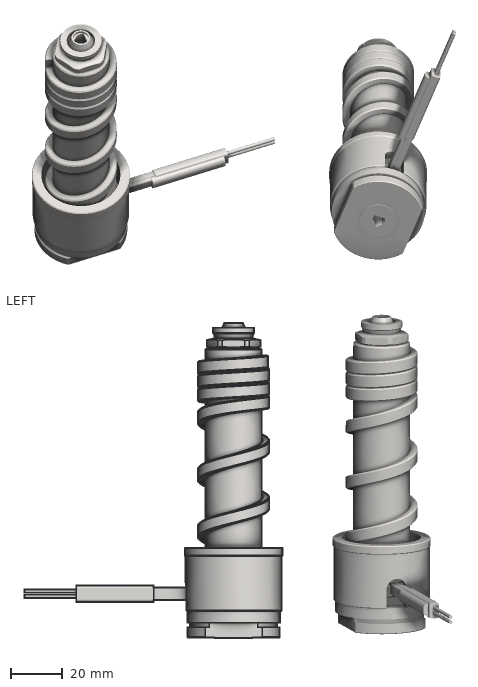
import cadquery as cq
import math

TOTAL_HEIGHT = 122.2

BOSS_RADIUS = 7.3
BOSS_HEIGHT = 0.3
BASE_RADIUS = 18.0
BASE_CHAMFER = 0.3
GROOVE_RADIUS = 17.0
GROOVE_BOTTOM = 4.4
GROOVE_TOP = 6.1
FLAT_HALF_WIDTH = 14.2
CUP_BOTTOM = 10.5
CUP_RADIUS = 18.7
RIM_RADIUS = 19.0
RIM_BOTTOM = 32.2
RIM_TOP = 35.2
CUP_CHAMFER = 0.35
CUP_INNER_RADIUS = 15.3

SLOT_WIDTH = 8.0
SLOT_TOP = 22.1

TUBE_RADIUS = 11.0
TUBE_TOP = 112.2
TUBE_CHAMFER = 0.5
NECK_RADIUS = 8.85

HEX_BOTTOM = 112.5
HEX_TOP = 116.3
HEX_ACROSS_FLATS = 19.0
HEX_CORNER_RADIUS = 10.45
HEX_BOTTOM_CHAMFER = 0.5
HEX_TOP_INNER_RADIUS = 7.2
HEX_TOP_DROP = 0.8

FLANGE_TOP = 120.3
FLANGE_BOTTOM = 118.3
FLANGE_RADIUS = 8.0
COLLAR_TOP = 117.9
COLLAR_TOP_RADIUS = 7.65
COLLAR_BOTTOM_RADIUS = HEX_TOP_INNER_RADIUS

RECESS_RADIUS = 5.5
RECESS_DEPTH = 2.0
NOZZLE_TOP_RADIUS = 3.6
NOZZLE_FLANGE_RADIUS = 4.4
NOZZLE_ROOT_RADIUS = 5.2
BORE_RADIUS = 3.0
BORE_DEPTH = 1.0

KEY_FLAT_Y = 1.95
KEY_FLAT_HALF_WIDTH = 2.1
KEY_HALF_WIDTH = 2.35
KEY_SHOULDER_Y = 1.5
KEY_TAPER = (2.0, -1.1)
KEY_TIP_Y = -3.1

SPRING_OUTER_RADIUS = 13.9
TUBE_OVERLAP = 0.1
SPRING_INNER_RADIUS = TUBE_RADIUS - TUBE_OVERLAP
STRIP_HEIGHT = 4.95
STRIP_CHAMFER = 0.45
OPEN_PITCH = 22.0
CLOSE_PITCH = 5.3
SPRING_MIDDLE_ANGLE = 30.0
SPRING_MIDDLE_Z = 59.75
OPEN_HALF_SPAN = 420.0
BLEND_SPAN = 150.0
CLOSE_SPAN = 1094.0
SPRING_STEP = 15.0

CABLE_Z = 17.3
CABLE_START_Y = 12.5
CABLE_1_X = (-2.95, -0.4)
CABLE_1_HEIGHT = 5.0
CABLE_1_CORNER = 0.5
CABLE_2_X = (-1.4, 1.05)
CABLE_2_HEIGHT = 4.4
CABLE_2_CORNER = 0.75
SLEEVE_LENGTH = 30.0
SLEEVE_1_X = (-3.2, 0.6)
SLEEVE_1_HEIGHT = 6.4
SLEEVE_1_CORNER = 1.05
SLEEVE_1_END_Y = 61.0
SLEEVE_2_X = (-1.35, 2.5)
SLEEVE_2_HEIGHT = 5.0
SLEEVE_2_CORNER = 1.9
SLEEVE_2_END_Y = 59.1
WIRE_RADIUS = 0.7
WIRE_SPACING = 2.0
WIRE_X = -1.45
WIRE_END_Y = 81.0
WIRE_OVERLAP = 1.0


def revolve(points):
    """Solid of revolution about Z from (radius, height) points."""
    return cq.Workplane("XZ").polyline(points).close().revolve(360, (0, 0, 0), (0, 1, 0))


def make_cup():
    """Stepped base with two wrench flats, and the open cup above it."""
    c = CUP_CHAMFER
    cup = revolve([
        (0, 0),
        (BOSS_RADIUS, 0),
        (BOSS_RADIUS, BOSS_HEIGHT),
        (BASE_RADIUS - BASE_CHAMFER, BOSS_HEIGHT),
        (BASE_RADIUS, BOSS_HEIGHT + BASE_CHAMFER),
        (BASE_RADIUS, GROOVE_BOTTOM),
        (GROOVE_RADIUS, GROOVE_BOTTOM),
        (GROOVE_RADIUS, GROOVE_TOP),
        (BASE_RADIUS, GROOVE_TOP),
        (BASE_RADIUS, CUP_BOTTOM),
        (CUP_RADIUS - c, CUP_BOTTOM),
        (CUP_RADIUS, CUP_BOTTOM + c),
        (CUP_RADIUS, RIM_BOTTOM - c),
        (RIM_RADIUS, RIM_BOTTOM),
        (RIM_RADIUS, RIM_TOP - c),
        (RIM_RADIUS - c, RIM_TOP),
        (CUP_INNER_RADIUS, RIM_TOP),
        (CUP_INNER_RADIUS, CUP_BOTTOM),
        (0, CUP_BOTTOM),
    ])
    for side in (-1, 1):
        cutter_x = side * (FLAT_HALF_WIDTH + BASE_RADIUS / 2)
        cutter = (
            cq.Workplane("XY")
            .center(cutter_x, 0)
            .rect(BASE_RADIUS, 2 * BASE_RADIUS)
            .extrude(GROOVE_TOP)
        )
        cup = cup.cut(cutter)
    return cup.cut(make_cable_slot())


def make_cable_slot():
    """Arched opening through the +Y wall of the cup."""
    half = SLOT_WIDTH / 2
    return (
        cq.Workplane("XZ")
        .moveTo(-half, CUP_BOTTOM)
        .lineTo(half, CUP_BOTTOM)
        .lineTo(half, SLOT_TOP - half)
        .threePointArc((0, SLOT_TOP), (-half, SLOT_TOP - half))
        .close()
        .extrude(-2 * RIM_RADIUS)
    )


def make_core():
    """Tube, neck, flange and nozzle as one turned profile."""
    recess_floor = FLANGE_TOP - RECESS_DEPTH
    profile = (
        cq.Workplane("XZ")
        .moveTo(0, CUP_BOTTOM)
        .lineTo(TUBE_RADIUS, CUP_BOTTOM)
        .lineTo(TUBE_RADIUS, TUBE_TOP - TUBE_CHAMFER)
        .lineTo(TUBE_RADIUS - TUBE_CHAMFER, TUBE_TOP)
        .lineTo(NECK_RADIUS, TUBE_TOP)
        .lineTo(NECK_RADIUS, HEX_BOTTOM)
        .lineTo(COLLAR_BOTTOM_RADIUS, HEX_BOTTOM)
        .lineTo(COLLAR_BOTTOM_RADIUS, HEX_TOP)
        .lineTo(COLLAR_TOP_RADIUS, COLLAR_TOP)
        .lineTo(FLANGE_RADIUS, FLANGE_BOTTOM)
        .lineTo(FLANGE_RADIUS, FLANGE_TOP)
        .lineTo(RECESS_RADIUS, FLANGE_TOP)
        .lineTo(RECESS_RADIUS, recess_floor)
        .lineTo(NOZZLE_ROOT_RADIUS, recess_floor)
        .threePointArc((NOZZLE_FLANGE_RADIUS, FLANGE_TOP), (NOZZLE_TOP_RADIUS, TOTAL_HEIGHT))
        .lineTo(0, TOTAL_HEIGHT)
        .close()
    )
    return profile.revolve(360, (0, 0, 0), (0, 1, 0))


def make_hex_nut():
    """Hexagon with flats facing +X and -X, trimmed to a chamfered round blank."""
    across_corners = HEX_ACROSS_FLATS / math.cos(math.pi / 6)
    hexagon = (
        cq.Workplane("XY", origin=(0, 0, HEX_BOTTOM))
        .transformed(rotate=(0, 0, 30))
        .polygon(6, across_corners)
        .extrude(HEX_TOP - HEX_BOTTOM)
    )
    blank = revolve([
        (0, HEX_BOTTOM),
        (HEX_ACROSS_FLATS / 2 - HEX_BOTTOM_CHAMFER, HEX_BOTTOM),
        (HEX_CORNER_RADIUS, HEX_BOTTOM + HEX_BOTTOM_CHAMFER),
        (HEX_CORNER_RADIUS, HEX_TOP - HEX_TOP_DROP),
        (HEX_TOP_INNER_RADIUS, HEX_TOP),
        (0, HEX_TOP),
    ])
    return hexagon.intersect(blank)


def spring_rise(offset):
    """Height of the strip above the spring's middle at an angle offset in degrees."""
    size = abs(offset)
    open_part = min(size, OPEN_HALF_SPAN)
    blend_part = min(max(size - OPEN_HALF_SPAN, 0), BLEND_SPAN)
    close_part = max(size - OPEN_HALF_SPAN - BLEND_SPAN, 0)
    pitch_loss = (OPEN_PITCH - CLOSE_PITCH) * blend_part / (2 * BLEND_SPAN)
    rise = open_part * OPEN_PITCH + blend_part * (OPEN_PITCH - pitch_loss) + close_part * CLOSE_PITCH
    return math.copysign(rise / 360, offset)


def make_spring():
    """Ruled strip between the winding curves of its section's corners."""
    half_span = OPEN_HALF_SPAN + BLEND_SPAN + CLOSE_SPAN
    count = round(2 * half_span / SPRING_STEP)
    offsets = [half_span * (2 * i / count - 1) for i in range(count + 1)]

    def winding_curve(radius, height):
        points = []
        for offset in offsets:
            angle = math.radians(SPRING_MIDDLE_ANGLE + offset)
            z = SPRING_MIDDLE_Z + spring_rise(offset) + height
            points.append(cq.Vector(radius * math.cos(angle), radius * math.sin(angle), z))
        return cq.Edge.makeSpline(points, parameters=offsets)

    half = STRIP_HEIGHT / 2
    chamfer = STRIP_CHAMFER
    section = [
        (SPRING_INNER_RADIUS, -half + chamfer),
        (SPRING_INNER_RADIUS + chamfer, -half),
        (SPRING_OUTER_RADIUS - chamfer, -half),
        (SPRING_OUTER_RADIUS, -half + chamfer),
        (SPRING_OUTER_RADIUS, half - chamfer),
        (SPRING_OUTER_RADIUS - chamfer, half),
        (SPRING_INNER_RADIUS + chamfer, half),
        (SPRING_INNER_RADIUS, half - chamfer),
    ]
    curves = [winding_curve(radius, height) for radius, height in section]
    faces = [cq.Face.makeRuledSurface(curves[i - 1], curves[i]) for i in range(len(curves))]
    for ends in ([curve.startPoint() for curve in curves], [curve.endPoint() for curve in curves]):
        faces.append(cq.Face.makeFromWires(cq.Wire.makePolygon(ends, close=True)))
    return cq.Workplane(cq.Solid.makeSolid(cq.Shell.makeShell(faces)))


def make_bar(x_range, height, corner, y_start, y_end):
    """Bar along Y with rounded long edges, centred on the cable height."""
    x_min, x_max = x_range
    return (
        cq.Workplane("XZ", origin=((x_min + x_max) / 2, y_start, CABLE_Z))
        .rect(x_max - x_min, height)
        .extrude(y_start - y_end)
        .edges("|Y")
        .fillet(corner)
    )


def make_wire(z):
    start_y = SLEEVE_1_END_Y - WIRE_OVERLAP
    return cq.Workplane("XZ", origin=(WIRE_X, start_y, z)).circle(WIRE_RADIUS).extrude(start_y - WIRE_END_Y)


def make_cables():
    sleeve_1_start = SLEEVE_1_END_Y - SLEEVE_LENGTH
    sleeve_2_start = SLEEVE_2_END_Y - SLEEVE_LENGTH
    cable_1 = make_bar(CABLE_1_X, CABLE_1_HEIGHT, CABLE_1_CORNER, CABLE_START_Y, SLEEVE_1_END_Y)
    cable_2 = make_bar(CABLE_2_X, CABLE_2_HEIGHT, CABLE_2_CORNER, CABLE_START_Y, SLEEVE_2_END_Y)
    sleeve_1 = make_bar(SLEEVE_1_X, SLEEVE_1_HEIGHT, SLEEVE_1_CORNER, sleeve_1_start, SLEEVE_1_END_Y)
    sleeve_2 = make_bar(SLEEVE_2_X, SLEEVE_2_HEIGHT, SLEEVE_2_CORNER, sleeve_2_start, SLEEVE_2_END_Y)
    cables = cable_1.union(cable_2).union(sleeve_2).union(sleeve_1)
    for side in (-1, 1):
        cables = cables.union(make_wire(CABLE_Z + side * WIRE_SPACING / 2))
    return cables


def make_bore():
    """Round bore in the nozzle above a keyed hole."""
    taper_x, taper_y = KEY_TAPER
    key = (
        cq.Workplane("XY")
        .polyline([
            (-KEY_FLAT_HALF_WIDTH, KEY_FLAT_Y),
            (-KEY_HALF_WIDTH, KEY_SHOULDER_Y),
            (-KEY_HALF_WIDTH, 0),
            (-taper_x, taper_y),
            (0, KEY_TIP_Y),
            (taper_x, taper_y),
            (KEY_HALF_WIDTH, 0),
            (KEY_HALF_WIDTH, KEY_SHOULDER_Y),
            (KEY_FLAT_HALF_WIDTH, KEY_FLAT_Y),
        ])
        .close()
        .extrude(TOTAL_HEIGHT)
    )
    bore = cq.Workplane("XY", origin=(0, 0, TOTAL_HEIGHT)).circle(BORE_RADIUS).extrude(-BORE_DEPTH)
    return key.union(bore)


turned_body = make_cup().union(make_core()).union(make_hex_nut()).cut(make_bore())
result = cq.Workplane(turned_body.val().fuse(make_spring().val(), make_cables().val()))